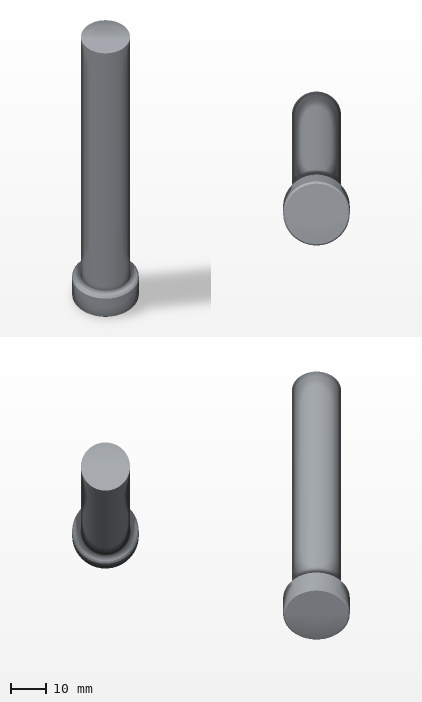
import cadquery as cq

total_length = 100.0
head_diameter = 19.0
head_height = 8.0
shank_diameter = 14.0

head_chamfer = 0.5
neck_fillet = 0.5

head = (
    cq.Workplane("XY")
    .circle(head_diameter / 2)
    .extrude(head_height)
    .edges()
    .chamfer(head_chamfer)
)

shank = cq.Workplane("XY").circle(shank_diameter / 2).extrude(total_length)

shank_radius = shank_diameter / 2
neck_top = head_height + neck_fillet
neck_radius = shank_radius + neck_fillet
arc_offset = neck_fillet * (1 - 0.5 ** 0.5)
neck = (
    cq.Workplane("XZ")
    .moveTo(0, head_height)
    .lineTo(neck_radius, head_height)
    .threePointArc(
        (shank_radius + arc_offset, head_height + arc_offset),
        (shank_radius, neck_top),
    )
    .lineTo(0, neck_top)
    .close()
    .revolve(360, (0, 0, 0), (0, 1, 0))
)

result = head.union(shank).union(neck)